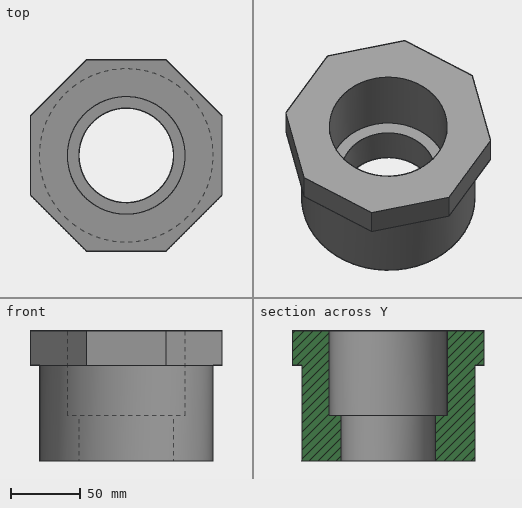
import cadquery as cq
import math

across_flats = 138.0
head_height = 25.0
across_corners = across_flats / math.cos(math.pi / 8)

total_height = 94.0
spigot_diameter = 125.0
spigot_height = total_height - head_height

socket_diameter = 84.7
socket_depth = 61.0
bore_diameter = 67.9


def make_spigot():
    return cq.Workplane("XY").circle(spigot_diameter / 2).extrude(spigot_height)


def make_head():
    """Octagonal prism with its flats square to X and Y."""
    head = cq.Workplane("XY").polygon(8, across_corners).extrude(head_height)
    half_corner_angle = 360 / 16
    return head.rotate((0, 0, 0), (0, 0, 1), half_corner_angle).translate((0, 0, spigot_height))


body = make_spigot().union(make_head())

result = body.faces(">Z").workplane(origin=(0, 0, total_height)).cboreHole(
    bore_diameter, socket_diameter, socket_depth
)